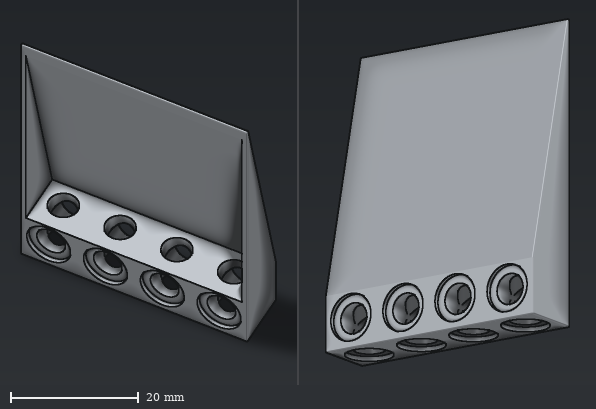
import cadquery as cq

width = 40.0
depth = 10.0
height = 50.0
front_y = -depth / 2
back_y = depth / 2

base_height = 9.2
tip_thickness = 0.55
edge_radius = 0.3

side_wall = 1.0
recess_top = 47.9
back_slope = (depth - tip_thickness) / (height - base_height)
recess_depth = (recess_top - base_height) * back_slope

hole_count = 4
hole_pitch = width / hole_count
hole_diameter = 5.0
hole_height = 5.0
counterbore_diameter = 7.7
counterbore_depth = 0.8


def extrude_across(points, length):
    """Extrude a YZ outline symmetrically about X = 0."""
    return cq.Workplane("YZ").polyline(points).close().extrude(length / 2, both=True)


def wedge():
    outline = [
        (front_y, 0),
        (back_y, 0),
        (back_y, base_height),
        (front_y + tip_thickness, height),
        (front_y, height),
    ]
    return extrude_across(outline, width).edges().fillet(edge_radius)


def recess():
    outline = [
        (front_y, base_height),
        (front_y + recess_depth, base_height),
        (front_y, recess_top),
    ]
    return extrude_across(outline, width - 2 * side_wall)


def counterbored_end(face):
    """Counterbore running from a workplane along its normal."""
    return face.circle(counterbore_diameter / 2).extrude(counterbore_depth)


def cross_holes(x):
    """Front-to-back hole counterbored at both ends, crossed by a vertical hole counterbored below."""
    front = cq.Workplane(cq.Plane((x, front_y, hole_height), xDir=(1, 0, 0), normal=(0, 1, 0)))
    back = cq.Workplane(cq.Plane((x, back_y, hole_height), xDir=(1, 0, 0), normal=(0, -1, 0)))
    bottom = cq.Workplane("XY", origin=(x, 0, 0))
    cutter = front.circle(hole_diameter / 2).extrude(depth)
    cutter = cutter.union(bottom.circle(hole_diameter / 2).extrude(base_height))
    for face in (front, back, bottom):
        cutter = cutter.union(counterbored_end(face))
    return cutter


result = wedge().cut(recess())
for index in range(hole_count):
    hole_x = (index - (hole_count - 1) / 2) * hole_pitch
    result = result.cut(cross_holes(hole_x))